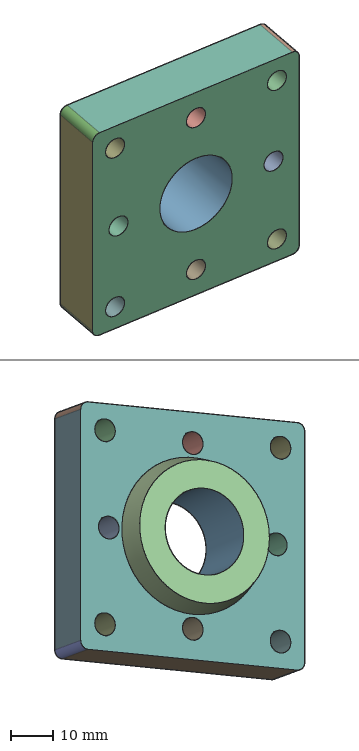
import cadquery as cq
import math

plate_side = 60.0
plate_thickness = 13.5
corner_radius = 2.0

total_depth = 19.6
boss_height = total_depth - plate_thickness
boss_base_diameter = 38.0
boss_taper_angle = 15.0
boss_tip_diameter = boss_base_diameter - 2 * boss_height * math.tan(math.radians(boss_taper_angle))

bore_diameter = 21.0
bolt_hole_diameter = 5.5
corner_hole_spacing = 47.0
cross_hole_circle_diameter = 45.0
cross_hole_count = 4


def make_plate():
    """Rounded square plate from x = 0 to x = plate_thickness."""
    return (
        cq.Workplane("YZ")
        .rect(plate_side, plate_side)
        .extrude(plate_thickness)
        .edges("|X")
        .fillet(corner_radius)
    )


def make_boss():
    """Cone frustum narrowing from the plate face at x = 0 toward -X."""
    frustum = cq.Solid.makeCone(
        boss_base_diameter / 2,
        boss_tip_diameter / 2,
        boss_height,
        pnt=cq.Vector(0, 0, 0),
        dir=cq.Vector(-1, 0, 0),
    )
    return cq.Workplane(obj=frustum)


def make_through_holes():
    """Centre bore, four corner holes and four holes on the Y and Z axes."""
    tip_plane = cq.Workplane("YZ", origin=(-boss_height, 0, 0))
    bore = tip_plane.circle(bore_diameter / 2).extrude(total_depth)
    plate_face = cq.Workplane("YZ")
    corner_holes = (
        plate_face.rect(corner_hole_spacing, corner_hole_spacing, forConstruction=True)
        .vertices()
        .circle(bolt_hole_diameter / 2)
        .extrude(plate_thickness)
    )
    cross_holes = (
        plate_face.polarArray(cross_hole_circle_diameter / 2, 0, 360, cross_hole_count)
        .circle(bolt_hole_diameter / 2)
        .extrude(plate_thickness)
    )
    return [bore, corner_holes, cross_holes]


result = make_plate().union(make_boss())
for hole_group in make_through_holes():
    result = result.cut(hole_group)